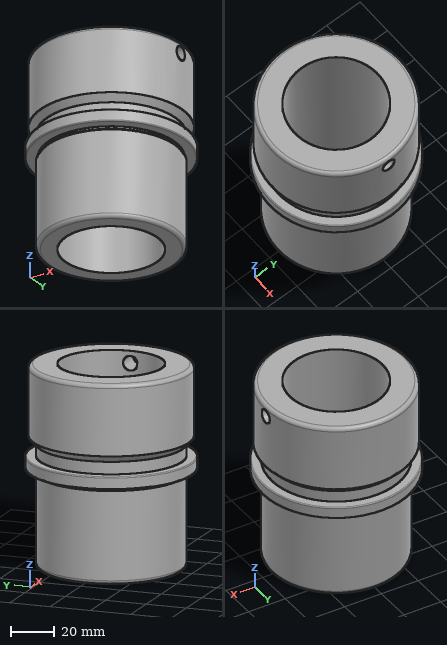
import cadquery as cq

total_height = 97.0
bore_diameter = 50.0

body_diameter = 70.0
body_top = 45.0
end_fillet = 2.0

relief_depth = 0.75

flange_diameter = 80.0
flange_bottom = 47.0
flange_thickness = 6.0
flange_edge_fillet = 0.5

head_diameter = 77.0
head_taper_bottom = 59.0

cross_hole_diameter = 7.0
cross_hole_height = 91.0

bore_radius = bore_diameter / 2
body_radius = body_diameter / 2
relief_radius = body_radius - relief_depth
flange_radius = flange_diameter / 2
flange_top = flange_bottom + flange_thickness
head_radius = head_diameter / 2
head_bottom = head_taper_bottom + (head_radius - body_radius)


def make_sleeve():
    """Revolve the wall section, from the bore outwards, about Z."""
    section = (
        cq.Workplane("XZ")
        .moveTo(bore_radius, 0)
        .lineTo(body_radius - end_fillet, 0)
        .radiusArc((body_radius, end_fillet), -end_fillet)
        .lineTo(body_radius, body_top)
        .lineTo(relief_radius, body_top + relief_depth)
        .lineTo(relief_radius, flange_bottom)
        .lineTo(flange_radius - flange_edge_fillet, flange_bottom)
        .radiusArc((flange_radius, flange_bottom + flange_edge_fillet), -flange_edge_fillet)
        .lineTo(flange_radius, flange_top - flange_edge_fillet)
        .radiusArc((flange_radius - flange_edge_fillet, flange_top), -flange_edge_fillet)
        .lineTo(body_radius, flange_top)
        .lineTo(body_radius, head_taper_bottom)
        .lineTo(head_radius, head_bottom)
        .lineTo(head_radius, total_height - end_fillet)
        .radiusArc((head_radius - end_fillet, total_height), -end_fillet)
        .lineTo(bore_radius, total_height)
        .close()
    )
    return section.revolve(360, (0, 0, 0), (0, 1, 0))


def make_cross_hole():
    """Cylinder running from the axis out past the +X side of the head."""
    return (
        cq.Workplane("YZ")
        .center(0, cross_hole_height)
        .circle(cross_hole_diameter / 2)
        .extrude(head_diameter)
    )


result = make_sleeve().cut(make_cross_hole())